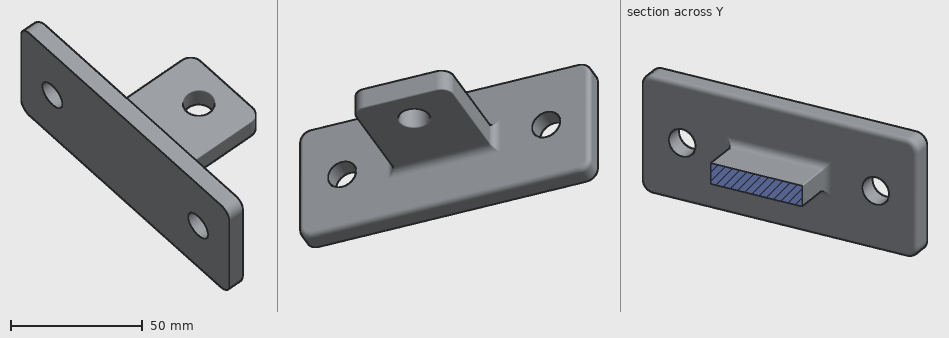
import cadquery as cq

PLATE_LENGTH = 120.0
PLATE_HEIGHT = 50.0
PLATE_THICKNESS = 8.0
PLATE_CORNER_RADIUS = 5.0
PLATE_BACK_FILLET = 2.0
PLATE_HOLE_DIAMETER = 11.5
PLATE_HOLE_SPACING = 84.0

OVERALL_DEPTH = 51.0
TAB_LENGTH = OVERALL_DEPTH - PLATE_THICKNESS
TAB_WIDTH = 40.0
TAB_THICKNESS = 9.0
TAB_CORNER_RADIUS = 5.0
TAB_ROOT_FILLET = 3.0
TAB_EDGE_FILLET = 0.5
TAB_HOLE_DIAMETER = 12.0
TAB_HOLE_FROM_END = 14.0
TAB_HOLE_Y = OVERALL_DEPTH - TAB_HOLE_FROM_END

PICK_MARGIN = 0.1


def make_plate():
    """Upright rounded rectangle whose back rim is rounded over."""
    plate = cq.Workplane("XY").box(
        PLATE_LENGTH, PLATE_THICKNESS, PLATE_HEIGHT, centered=(True, False, True)
    )
    plate = plate.edges("|Y").fillet(PLATE_CORNER_RADIUS)
    return plate.faces(">Y").edges().fillet(PLATE_BACK_FILLET)


def make_tab():
    """Flat tab reaching back from the plate, with rounded corners on its free end."""
    tab = cq.Workplane("XY", origin=(0, PLATE_THICKNESS, 0)).box(
        TAB_WIDTH, TAB_LENGTH, TAB_THICKNESS, centered=(True, False, True)
    )
    return tab.edges("|Z and >Y").fillet(TAB_CORNER_RADIUS)


def fillet_tab_root(body):
    """Blend all four sides of the tab into the back face of the plate."""
    half_width = TAB_WIDTH / 2 + PICK_MARGIN
    half_thickness = TAB_THICKNESS / 2 + PICK_MARGIN
    root_edges = cq.selectors.BoxSelector(
        (-half_width, PLATE_THICKNESS - PICK_MARGIN, -half_thickness),
        (half_width, PLATE_THICKNESS + PICK_MARGIN, half_thickness),
        boundingbox=True,
    )
    return body.edges(root_edges).fillet(TAB_ROOT_FILLET)


def cut_plate_holes(body):
    """Two plain through holes along Y."""
    drills = (
        cq.Workplane("XZ")
        .rarray(PLATE_HOLE_SPACING, 1, 2, 1)
        .circle(PLATE_HOLE_DIAMETER / 2)
        .extrude(-PLATE_THICKNESS)
    )
    return body.cut(drills)


def cut_tab_hole(body):
    """Plain through hole along Z."""
    drill = (
        cq.Workplane("XY", origin=(0, TAB_HOLE_Y, -TAB_THICKNESS / 2))
        .circle(TAB_HOLE_DIAMETER / 2)
        .extrude(TAB_THICKNESS)
    )
    return body.cut(drill)


def soften_tab_edges(body):
    """Round the outer and hole rims of the tab's two faces.

    The rounding runs on down the mitred corners of the root blend.
    """
    half_width = TAB_WIDTH / 2 + PICK_MARGIN
    root_end = PLATE_THICKNESS + TAB_ROOT_FILLET
    for face_z in (-TAB_THICKNESS / 2, TAB_THICKNESS / 2):
        rim_edges = cq.selectors.BoxSelector(
            (-half_width, root_end + PICK_MARGIN, face_z - PICK_MARGIN),
            (half_width, OVERALL_DEPTH + PICK_MARGIN, face_z + PICK_MARGIN),
        )
        body = body.edges(rim_edges).fillet(TAB_EDGE_FILLET)
    return body


result = make_plate().union(make_tab())
result = fillet_tab_root(result)
result = cut_plate_holes(result)
result = cut_tab_hole(result)
result = soften_tab_edges(result)